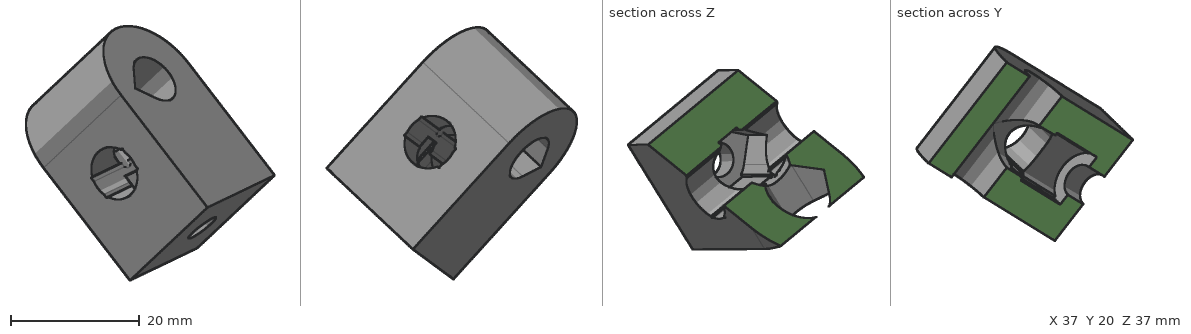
import cadquery as cq
import math

LENGTH = 20.0
THICKNESS = 20.0
FLAT_END_Z = -22.28
TILT_ANGLE = -45.0

ROD_BORE_RADIUS = 4.1

CROSS_BORE_RADIUS = 4.2
CROSS_BORE_Z = -8.28
SLOT_LENGTH = 8.0
SLOT_HEIGHT = 4.0

LINK_BORE_RADIUS = 4.1
POCKET_RADIUS = 4.65
POCKET_FLANK_WIDTH = 3.9
POCKET_FLOOR_THICKNESS = 4.0
SCREW_HOLE_RADIUS = 2.7

POCKET_FLOOR_Z = FLAT_END_Z + POCKET_FLOOR_THICKNESS


def make_body():
    """Block with a flat lower end and a full round on top."""
    radius = THICKNESS / 2
    return (
        cq.Workplane("YZ")
        .moveTo(-radius, FLAT_END_Z)
        .lineTo(radius, FLAT_END_Z)
        .lineTo(radius, 0)
        .threePointArc((0, radius), (-radius, 0))
        .close()
        .extrude(LENGTH / 2, both=True)
    )


def draw_teardrop(plane, radius):
    """Circle with a 45 degree point toward the plane's negative first axis."""
    tangent = radius / math.sqrt(2)
    return (
        plane
        .moveTo(-tangent, tangent)
        .lineTo(-2 * tangent, 0)
        .lineTo(-tangent, -tangent)
        .threePointArc((radius, 0), (-tangent, tangent))
        .close()
    )


def make_rod_bore():
    """Teardrop bore along X, pointing toward -Y."""
    return draw_teardrop(cq.Workplane("YZ"), ROD_BORE_RADIUS).extrude(LENGTH / 2, both=True)


def make_cross_bore():
    """Round bore through the thickness, joined with its rectangular slot."""
    center = cq.Workplane("XZ").center(0, CROSS_BORE_Z)
    bore = center.circle(CROSS_BORE_RADIUS).extrude(THICKNESS / 2, both=True)
    slot = center.rect(SLOT_LENGTH, SLOT_HEIGHT).extrude(THICKNESS / 2, both=True)
    return bore.union(slot)


def make_pocket():
    """Teardrop pocket along Z, pointing toward -Y, with flat flanks at its +X and -X sides."""
    depth = CROSS_BORE_Z - POCKET_FLOOR_Z
    floor_plane = cq.Plane(origin=(0, 0, POCKET_FLOOR_Z), xDir=(0, 1, 0), normal=(0, 0, 1))
    teardrop = draw_teardrop(cq.Workplane(floor_plane), POCKET_RADIUS).extrude(depth)
    flanks = cq.Workplane(floor_plane).rect(POCKET_FLANK_WIDTH, 2 * POCKET_RADIUS).extrude(depth)
    return teardrop.union(flanks)


def make_upright_bore(radius, bottom_z, top_z):
    """Round bore along Z between two levels."""
    return cq.Workplane("XY").workplane(offset=bottom_z).circle(radius).extrude(top_z - bottom_z)


link_bore = make_upright_bore(LINK_BORE_RADIUS, CROSS_BORE_Z, 0)
screw_hole = make_upright_bore(SCREW_HOLE_RADIUS, FLAT_END_Z, POCKET_FLOOR_Z)

upright_part = (
    make_body()
    .cut(make_rod_bore())
    .cut(make_cross_bore())
    .cut(link_bore)
    .cut(make_pocket())
    .cut(screw_hole)
)

result = upright_part.rotate((0, 0, 0), (0, 1, 0), TILT_ANGLE)